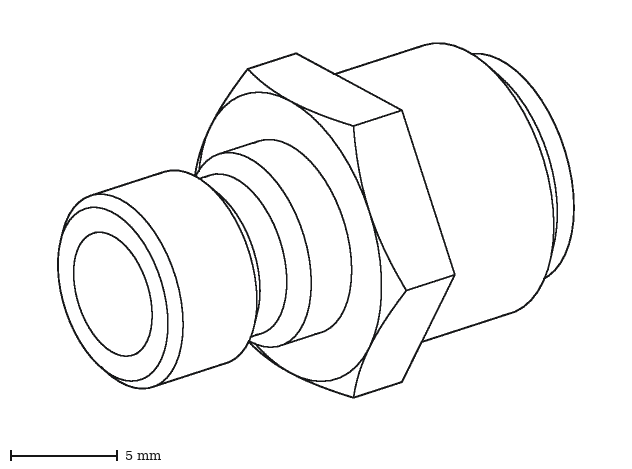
import cadquery as cq
import math

total_length = 23.0
groove_start = 4.88
groove_end = 8.1
hex_start = 10.49
hex_end = 13.98
body_end = 21.0
collar_start = 22.0

bore_diameter = 6.0
plug_diameter = 9.43
groove_diameter = 7.8
body_diameter = 13.2
collar_diameter = 11.13
hex_across_flats = 14.0
hex_sides = 6

tip_chamfer = 0.5
hex_chamfer_angle = 30.0

plug_radius = plug_diameter / 2
groove_radius = groove_diameter / 2
body_radius = body_diameter / 2
collar_radius = collar_diameter / 2
groove_depth = plug_radius - groove_radius


def revolve_profile(points):
    """Revolve a closed (radius, y) outline around the Y axis."""
    return cq.Workplane("XY").polyline(points).close().revolve(360, (0, 0, 0), (0, 1, 0))


def turned_body():
    """Plug with its locking groove, the large body and the end collar."""
    return revolve_profile([
        (0, 0),
        (plug_radius - tip_chamfer, 0),
        (plug_radius, tip_chamfer),
        (plug_radius, groove_start),
        (groove_radius, groove_start + groove_depth),
        (groove_radius, groove_end - groove_depth),
        (plug_radius, groove_end),
        (plug_radius, hex_start),
        (body_radius, hex_start),
        (body_radius, body_end),
        (collar_radius, collar_start),
        (collar_radius, total_length),
        (0, total_length),
    ])


def hexagon():
    """Wrench hexagon with corners on X and conical chamfers at its front."""
    corner_radius = hex_across_flats / 2 / math.cos(math.pi / hex_sides)
    flat_radius = hex_across_flats / 2
    chamfer_depth = (corner_radius - flat_radius) * math.tan(math.radians(hex_chamfer_angle))
    prism = (
        cq.Workplane("XZ", origin=(0, hex_start, 0))
        .polygon(hex_sides, 2 * corner_radius)
        .extrude(-(hex_end - hex_start))
    )
    chamfer_envelope = revolve_profile([
        (0, hex_start),
        (flat_radius, hex_start),
        (corner_radius, hex_start + chamfer_depth),
        (corner_radius, hex_end),
        (0, hex_end),
    ])
    return prism.intersect(chamfer_envelope)


bore = cq.Workplane("XZ").circle(bore_diameter / 2).extrude(-total_length)

centred = (0, -total_length / 2, 0)
result = turned_body().union(hexagon()).cut(bore).translate(centred)